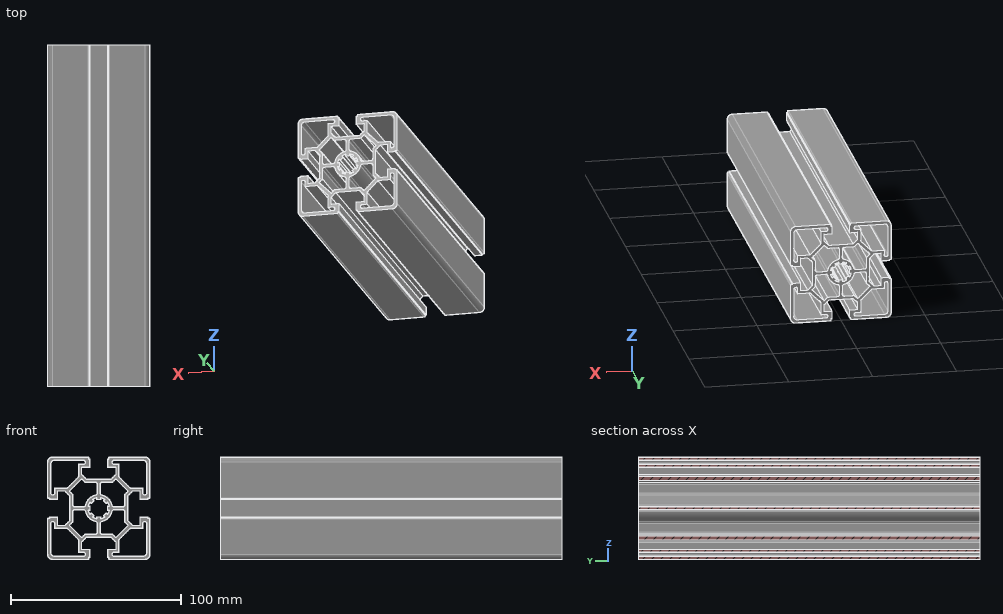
import cadquery as cq
import math

side = 60.0
length = 200.0
half = side / 2
corner_radius = 3.0

outer_wall = 2.0
web = 1.8

slot_half_width = 5.2
slot_inner_half_width = 10.0
lip_depth = 6.0
floor_height = 17.0
floor_half_width = 7.2
slot_bevel_offset = floor_height - floor_half_width
lip_step_width = 0.5
step_half_width = slot_half_width + lip_step_width
lip_step_depth = 1.2
lip_radius = 0.5

chamber_outer = half - outer_wall
chamber_inner = slot_inner_half_width + web
chamber_corner_radius = 2.0
finger_floor = half - lip_depth + web
finger_radius = (chamber_outer - finger_floor) / 2
finger_tip = 7.8

hub_radius = 8.0
spoke_fillet = 1.2
bore_radius = 6.2
tooth_tip_radius = 5.0
tooth_width = 2.5
tooth_count = 8

core_bevel_offset = 7.2
core_floor = floor_height - web
core_diagonal_sum = 27.2
chamber_diagonal_sum = 30.2


def section():
    """Workplane at the -Y end, with local X along X and local Y along Z."""
    return cq.Workplane("XZ").workplane(offset=length / 2)


def extruded(sketch):
    return sketch.extrude(-length)


def around(shape, angle):
    return shape.rotate((0, 0, 0), (0, 1, 0), angle)


def fillet_lengthwise(shape, corners, radius):
    """Fillet the edges along Y nearest to the given (x, z) corners of the section."""
    for x, z in corners:
        corner = cq.selectors.NearestToPointSelector((x, 0, z))
        shape = shape.edges("|Y").edges(corner).fillet(radius)
    return shape


def make_blank():
    return extruded(section().rect(side, side)).edges("|Y").fillet(corner_radius)


def make_slot():
    """Space of the T-slot that opens on the +Z face."""
    lip_bottom = half - lip_depth
    bevel_top = slot_inner_half_width + slot_bevel_offset
    right_half = [
        (floor_half_width, floor_height),
        (slot_inner_half_width, bevel_top),
        (slot_inner_half_width, lip_bottom),
        (slot_half_width, lip_bottom),
        (slot_half_width, half - lip_step_depth),
        (step_half_width, half - lip_step_depth),
        (step_half_width, half),
    ]
    left_half = [(-x, z) for x, z in reversed(right_half)]
    return extruded(section().polyline(right_half + left_half).close())


def make_corner_chamber():
    """Hollow in the +X +Z corner, with a round-ended finger reaching into each slot lip."""
    diagonal_end = chamber_diagonal_sum - chamber_inner
    finger_center = chamber_outer - finger_radius
    finger_start = finger_tip + finger_radius
    outline = (
        section()
        .moveTo(chamber_inner, diagonal_end)
        .lineTo(chamber_inner, finger_floor)
        .lineTo(finger_start, finger_floor)
        .threePointArc((finger_tip, finger_center), (finger_start, chamber_outer))
        .lineTo(chamber_outer, chamber_outer)
        .lineTo(chamber_outer, finger_start)
        .threePointArc((finger_center, finger_tip), (finger_floor, finger_start))
        .lineTo(finger_floor, chamber_inner)
        .lineTo(diagonal_end, chamber_inner)
        .close()
    )
    return fillet_lengthwise(extruded(outline), [(chamber_outer, chamber_outer)], chamber_corner_radius)


def make_core_chamber():
    """Hollow between two spokes, the hub and the webs, in the +X +Z quarter."""
    spoke_side = web / 2
    bevel_end = core_floor - core_bevel_offset
    tip_x = (core_diagonal_sum - core_bevel_offset) / 2
    tip_z = core_diagonal_sum - tip_x
    outline = [
        (spoke_side, spoke_side),
        (spoke_side, core_floor),
        (bevel_end, core_floor),
        (tip_x, tip_z),
        (tip_z, tip_x),
        (core_floor, bevel_end),
        (core_floor, spoke_side),
    ]
    chamber = extruded(section().polyline(outline).close())
    chamber = chamber.cut(extruded(section().circle(hub_radius)))
    spoke_end = math.sqrt(hub_radius**2 - spoke_side**2)
    spoke_corners = [
        (spoke_side, spoke_end),
        (spoke_end, spoke_side),
        (spoke_side, core_floor),
        (core_floor, spoke_side),
    ]
    return fillet_lengthwise(chamber, spoke_corners, spoke_fillet)


def make_bore():
    """Central through bore, with teeth left standing around its wall."""
    bore = extruded(section().circle(bore_radius))
    tooth_height = bore_radius - tooth_tip_radius
    tooth_center = tooth_tip_radius + tooth_height / 2
    tooth = extruded(section().center(tooth_center, 0).rect(tooth_height, tooth_width))
    for index in range(tooth_count):
        bore = bore.cut(around(tooth, index * 360 / tooth_count))
    return bore


def round_slot_lips(body):
    """Round the outer edges of the slot mouths."""
    lip_corners = []
    for u in (-step_half_width, step_half_width):
        for v in (-half, half):
            lip_corners += [(u, v), (v, u)]
    return fillet_lengthwise(body, lip_corners, lip_radius)


slot = make_slot()
corner_chamber = make_corner_chamber()
core_chamber = make_core_chamber()

body = make_blank().cut(make_bore())
for quarter_turn in (0, 90, 180, 270):
    for void in (slot, corner_chamber, core_chamber):
        body = body.cut(around(void, quarter_turn))

result = round_slot_lips(body)